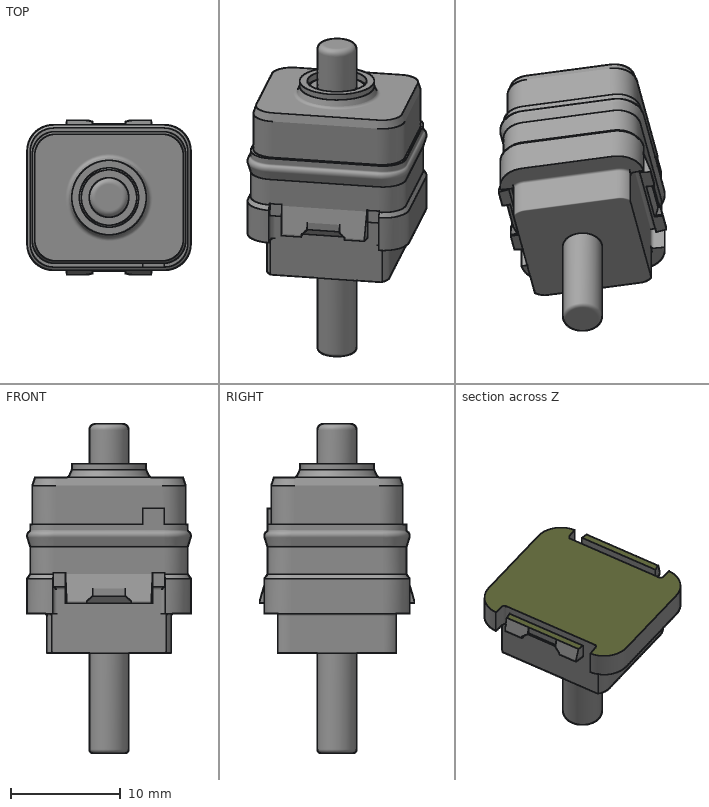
import cadquery as cq
import math

block_bottom = 9.15
skirt_bottom = 12.75
latch_bottom = 13.73
latch_lip_top = 13.9
latch_root = 15.23
skirt_shoulder = 15.95
skirt_top = 16.37
recess_top = 16.5
seal_bottom = 18.87
seal_waist = 19.7
seal_top = 20.4
sleeve_top = 20.92
cap_shoulder = 24.45
cap_top = 25.2
collar_top = 26.45
shaft_top = 30.1

sleeve_x, sleeve_y, sleeve_corner = 14.4, 12.7, 2.15
skirt_overhang = 0.3
cap_x, cap_y, cap_corner = 14.03, 12.05, 2.1
cap_bevel_in = 0.25

block_x, block_y, block_corner = 11.38, 11.68, 1.55
block_flat = 5.42
block_root_fillet = 0.2
block_edge_fillet = 0.1

seal_lip = 0.045
seal_round_in = 0.03
seal_round_rise = 0.2
seal_blend_out = 0.12
seal_blend_drop = 0.18

shaft_radius = 1.8
shaft_top_fillet = 0.57
shaft_bottom_fillet = 0.35
collar_radius = 3.4
collar_foot_radius = 3.65
collar_step = 25.92
collar_foot = 25.37
collar_flare = 0.33
hole_radius = 2.7
hole_floor = 25.9
floor_bevel_in = 0.18
floor_bevel_drop = 0.1

latch_inner = 6.08
latch_anchor_y = 5.9
latch_tip = 7.07
latch_half_inner = 4.03
latch_half_tip = 3.85
slot_half_inner = 5.05
slot_half_outer = 5.12
slot_fillet = 0.3
recess_top_y = 6.05
recess_foot_y = 6.1
notch_face = 6.75
notch_break = 14.35
notch_half_top = 1.5
notch_half_foot = 2.02
notch_foot_y = 6.32

tab_left, tab_right = 3.07, 5.05
tab_top = 22.35

skirt_tip = sleeve_y / 2 + skirt_overhang
beyond = 1.5
margin = 0.03
overlap = 0.3


def tier(size_x, size_y, corner, bottom, top):
    """Upright block with rounded vertical edges."""
    block = cq.Workplane("XY", origin=(0, 0, bottom)).rect(size_x, size_y).extrude(top - bottom)
    return block.edges("|Z").fillet(corner)


def yz_prism(points, half_width):
    """Prism along X with a (Y, Z) outline, centred on X = 0."""
    return cq.Workplane("YZ").polyline(points).close().extrude(half_width, both=True)


def plan_prism(inner_y, inner_half, outer_y, outer_half, bottom, top):
    """Upright prism whose plan is a trapezoid symmetric about X = 0."""
    plan = [(-inner_half, inner_y), (inner_half, inner_y), (outer_half, outer_y), (-outer_half, outer_y)]
    return cq.Workplane("XY", origin=(0, 0, bottom)).polyline(plan).close().extrude(top - bottom)


def on_both_sides(shape):
    """The +Y shape together with its mirror image on the -Y side."""
    return shape.union(shape.mirror("XZ"))


def make_cap():
    """Upper tier of the housing with a steep bevel round its top."""
    cap = tier(cap_x, cap_y, cap_corner, sleeve_top - overlap, cap_top)
    return cap.faces(">Z").chamfer(cap_top - cap_shoulder, cap_bevel_in)


def make_skirt():
    """Wide tier below the sleeve, bevelled up to the sleeve's faces."""
    skirt = tier(
        sleeve_x + 2 * skirt_overhang,
        sleeve_y + 2 * skirt_overhang,
        sleeve_corner + skirt_overhang,
        skirt_bottom,
        skirt_top,
    )
    return skirt.faces(">Z").chamfer(skirt_top - skirt_shoulder, skirt_overhang)


def make_skirt_and_block():
    """Skirt with the lower block under it, blended by a fillet where they meet."""
    block = tier(block_x, block_y, block_corner, block_bottom, skirt_bottom)
    block = block.faces("<Z").edges().fillet(block_edge_fillet)
    reach_x = block_x / 2 + margin
    reach_y = block_y / 2 + margin
    root = cq.selectors.BoxSelector(
        (-reach_x, -reach_y, skirt_bottom - margin),
        (reach_x, reach_y, skirt_bottom + margin),
    )
    body = make_skirt().union(block).edges(root).fillet(block_root_fillet)
    waste = cq.Workplane("XY", origin=(0, block_flat + block_y / 2, 0)).box(
        2 * block_x, block_y, 2 * skirt_bottom
    )
    return body.cut(on_both_sides(waste))


def make_seal():
    """Bulged bead running round the sleeve."""
    face = sleeve_y / 2
    crest = face + skirt_overhang
    blend_start = (face + seal_blend_out, seal_top - seal_blend_drop)
    blend_mid = (face + seal_blend_out / 3, seal_top - 2 * seal_blend_drop / 3)
    profile = (
        cq.Workplane("YZ")
        .moveTo(face - overlap, seal_bottom)
        .lineTo(face, seal_bottom)
        .lineTo(face + seal_lip, seal_bottom + 2 * seal_lip)
        .lineTo(crest - seal_round_in, seal_waist)
        .threePointArc((crest, seal_waist + seal_round_rise), blend_start)
        .threePointArc(blend_mid, (face, seal_top))
        .lineTo(face - overlap, seal_top)
        .close()
    )
    ring = tier(sleeve_x, sleeve_y, sleeve_corner, seal_bottom, seal_top)
    return profile.sweep(cq.Workplane(ring.faces("<Z").wires().val()))


def make_shaft_and_collar():
    """Turned shaft with the recessed collar that flares out onto the cap."""
    bevel_45 = math.sqrt(0.5)
    top_inset = shaft_top_fillet * (1 - bevel_45)
    bottom_inset = shaft_bottom_fillet * (1 - bevel_45)
    flare_height = collar_foot - cap_top
    flare_radius = (collar_flare**2 + flare_height**2) / (2 * flare_height)
    flare_half_angle = math.asin(collar_flare / flare_radius) / 2
    flare_outer = collar_foot_radius + collar_flare
    flare_mid = (
        flare_outer - flare_radius * math.sin(flare_half_angle),
        cap_top + flare_radius * (1 - math.cos(flare_half_angle)),
    )
    return (
        cq.Workplane("XZ")
        .moveTo(0, 0)
        .lineTo(shaft_radius - shaft_bottom_fillet, 0)
        .threePointArc((shaft_radius - bottom_inset, bottom_inset), (shaft_radius, shaft_bottom_fillet))
        .lineTo(shaft_radius, cap_top - overlap)
        .lineTo(flare_outer, cap_top - overlap)
        .lineTo(flare_outer, cap_top)
        .threePointArc(flare_mid, (collar_foot_radius, collar_foot))
        .lineTo(collar_radius, collar_step)
        .lineTo(collar_radius, collar_top)
        .lineTo(hole_radius, collar_top)
        .lineTo(hole_radius, hole_floor - floor_bevel_drop)
        .lineTo(hole_radius - floor_bevel_in, hole_floor)
        .lineTo(shaft_radius, hole_floor)
        .lineTo(shaft_radius, shaft_top - shaft_top_fillet)
        .threePointArc(
            (shaft_radius - top_inset, shaft_top - top_inset), (shaft_radius - shaft_top_fillet, shaft_top)
        )
        .lineTo(0, shaft_top)
        .close()
        .revolve(360, (0, 0, 0), (0, 1, 0))
    )


def make_slot():
    """Gap behind and beside the latch arm, open below, with the leaning recess above it."""
    outer = skirt_tip + beyond
    slope = (slot_half_outer - slot_half_inner) / (skirt_tip - block_flat)
    outer_half = slot_half_outer + slope * beyond
    gap = plan_prism(block_flat, slot_half_inner, outer, outer_half, skirt_bottom, latch_root)
    gap = gap.faces("<Y").edges("not <Z").fillet(slot_fillet)
    recess = plan_prism(block_flat, slot_half_inner, outer, outer_half, latch_root, recess_top)
    behind = yz_prism(
        [(0, latch_root), (recess_foot_y, latch_root), (recess_top_y, recess_top), (0, recess_top)],
        slot_half_outer + beyond,
    )
    return gap.union(recess.cut(behind))


def make_latch():
    """Wedge-shaped spring hook with a notch in its lower edge."""
    wedge = yz_prism(
        [
            (latch_inner, latch_bottom),
            (latch_tip, latch_bottom),
            (latch_tip, latch_lip_top),
            (sleeve_y / 2, skirt_top),
            (sleeve_y / 2, recess_top),
            (latch_anchor_y, recess_top),
            (latch_anchor_y, latch_root),
            (latch_inner, latch_root),
        ],
        slot_half_outer,
    )
    sides = plan_prism(
        latch_anchor_y, latch_half_inner, latch_tip, latch_half_tip, latch_bottom, recess_top
    )
    return wedge.intersect(sides).cut(make_notch())


def make_notch():
    """Opening in the latch: an upright face above, then a sloping flared underside."""
    front = (
        cq.Workplane("XZ")
        .polyline(
            [
                (-notch_half_foot, latch_bottom),
                (notch_half_foot, latch_bottom),
                (notch_half_foot, latch_lip_top),
                (notch_half_top, notch_break),
                (notch_half_top, latch_root),
                (-notch_half_top, latch_root),
                (-notch_half_top, notch_break),
                (-notch_half_foot, latch_lip_top),
            ]
        )
        .close()
        .extrude(-latch_tip - beyond)
    )
    side = yz_prism(
        [
            (notch_foot_y, latch_bottom),
            (notch_face, notch_break),
            (notch_face, latch_root),
            (latch_tip + beyond, latch_root),
            (latch_tip + beyond, latch_bottom),
        ],
        notch_half_foot,
    )
    return front.intersect(side)


def make_tab():
    """Key standing on the sleeve's upper step, flush with the sleeve's -Y face."""
    depth = (sleeve_y - cap_y) / 2 + overlap
    centre = ((tab_left + tab_right) / 2, (depth - sleeve_y) / 2, sleeve_top - overlap)
    base = cq.Workplane("XY", origin=centre)
    return base.rect(tab_right - tab_left, depth).extrude(tab_top - sleeve_top + overlap)


result = (
    make_skirt_and_block()
    .union(tier(sleeve_x, sleeve_y, sleeve_corner, skirt_top - overlap, sleeve_top))
    .cut(on_both_sides(make_slot()))
    .union(on_both_sides(make_latch()))
    .union(make_seal())
    .union(make_cap())
    .union(make_tab())
    .union(make_shaft_and_collar())
)